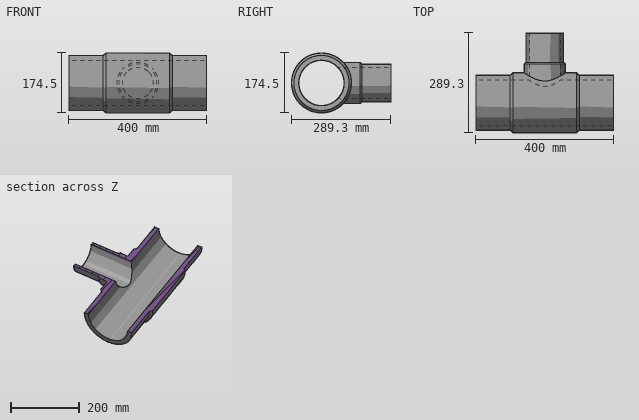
import cadquery as cq

run_length = 400.0
run_diameter = 160.0
run_bore = 131.0

body_length = 200.5
body_diameter = 174.5
body_bevel_length = 8.0

branch_reach = 202.0
branch_diameter = 110.0
wall_ratio = run_diameter / run_bore
branch_bore = branch_diameter / wall_ratio
collar_reach = 117.0
collar_diameter = 120.0
collar_bevel = (collar_diameter - branch_diameter) / 2

middle = run_length / 2


def along_run(diameter, length):
    """Cylinder on the run axis, centred on the middle of the run."""
    return cq.Workplane("YZ", origin=(middle - length / 2, 0, 0)).circle(diameter / 2).extrude(length)


def along_branch(diameter, reach):
    """Cylinder on the branch axis, from the run axis out to the given reach."""
    return cq.Workplane("XZ", origin=(middle, 0, 0)).circle(diameter / 2).extrude(-reach)


def bevelled_body():
    """Body of revolution whose sloped ends run down to the run pipe."""
    half_length = body_length / 2
    half_flat = half_length - body_bevel_length
    profile = (
        cq.Workplane("XY", origin=(middle, 0, 0))
        .moveTo(-half_length, 0)
        .lineTo(-half_length, run_diameter / 2)
        .lineTo(-half_flat, body_diameter / 2)
        .lineTo(half_flat, body_diameter / 2)
        .lineTo(half_length, run_diameter / 2)
        .lineTo(half_length, 0)
        .close()
    )
    return profile.revolve(360, (0, 0, 0), (1, 0, 0))


body = bevelled_body()
collar = along_branch(collar_diameter, collar_reach).faces(">Y").chamfer(collar_bevel)
run = along_run(run_diameter, run_length)
branch = along_branch(branch_diameter, branch_reach)
outside = body.union(run).union(collar).union(branch)

result = outside.cut(along_run(run_bore, run_length)).cut(along_branch(branch_bore, branch_reach))